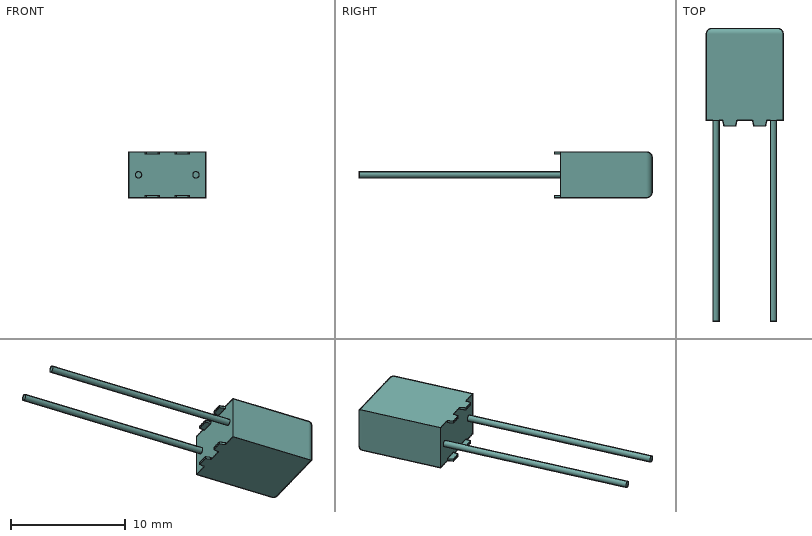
import cadquery as cq


TOTAL_LENGTH = 25.5
HOUSING_WIDTH = 6.7
HOUSING_LENGTH = 8.0
HOUSING_HEIGHT = 4.0
BACK_FILLET = 0.5

TAB_SPACING = 2.6
TAB_ROOT_WIDTH = 1.28
TAB_TIP_WIDTH = 1.02
TAB_LENGTH = 0.5
TAB_THICKNESS = 0.2

LEAD_DIAMETER = 0.55
LEAD_SPACING = 5.0
LEAD_LENGTH = TOTAL_LENGTH - HOUSING_LENGTH


def make_tab(x_center, z_bottom):
    """Tapered plate that stands on the lead face and points toward -Y."""
    return (
        cq.Workplane("XY", origin=(x_center, 0, z_bottom))
        .moveTo(-TAB_ROOT_WIDTH / 2, 0)
        .lineTo(-TAB_TIP_WIDTH / 2, -TAB_LENGTH)
        .lineTo(TAB_TIP_WIDTH / 2, -TAB_LENGTH)
        .lineTo(TAB_ROOT_WIDTH / 2, 0)
        .close()
        .extrude(TAB_THICKNESS)
    )


def make_housing():
    """Box with a rounded back rim and a tab pair along its top and bottom faces."""
    housing = (
        cq.Workplane("XY")
        .box(HOUSING_WIDTH, HOUSING_LENGTH, HOUSING_HEIGHT, centered=(True, False, True))
        .faces(">Y")
        .edges()
        .fillet(BACK_FILLET)
    )
    bottom_tab_z = -HOUSING_HEIGHT / 2
    top_tab_z = HOUSING_HEIGHT / 2 - TAB_THICKNESS
    for side in (-1, 1):
        for tab_z in (bottom_tab_z, top_tab_z):
            housing = housing.union(make_tab(side * TAB_SPACING / 2, tab_z))
    return housing


def make_lead(x_center):
    """Round wire that butts against the lead face."""
    return (
        cq.Workplane("XZ", origin=(x_center, 0, 0))
        .circle(LEAD_DIAMETER / 2)
        .extrude(LEAD_LENGTH)
    )


housing = make_housing()
leads = [make_lead(side * LEAD_SPACING / 2) for side in (-1, 1)]

result = cq.Compound.makeCompound([housing.val(), *[lead.val() for lead in leads]])